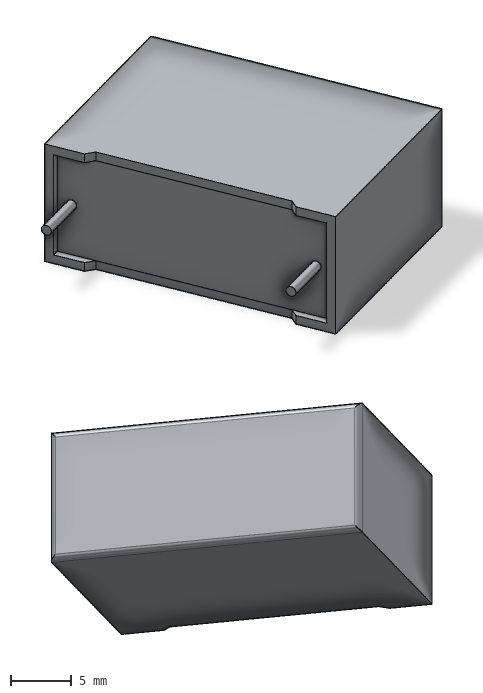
import cadquery as cq

width = 26.8
housing_depth = 20.1
height = 11.2
wall = 0.83
back_edge_radius = 0.5

relief_depth = 0.7
foot_width = 3.67

fill_recess = relief_depth

pin_diameter = 0.9
pin_length = 4.0
pin_spacing = 22.5

relief_half_width = width / 2 - foot_width
cavity_width = width - 2 * wall
cavity_height = height - 2 * wall
fill_depth = housing_depth - wall - fill_recess


def box_from_front(size_x, size_y, size_z, front_y):
    """Box centred in X and Z that runs back from front_y."""
    return (
        cq.Workplane("XY")
        .box(size_x, size_y, size_z, centered=(True, False, True))
        .translate((0, front_y, 0))
    )


def make_housing():
    shell = box_from_front(width, housing_depth, height, 0)
    shell = shell.faces(">Y").edges().fillet(back_edge_radius)
    cavity = box_from_front(cavity_width, housing_depth - wall, cavity_height, 0)
    relief = (
        cq.Workplane("XY")
        .polyline([
            (-relief_half_width, 0),
            (relief_half_width, 0),
            (relief_half_width - relief_depth, relief_depth),
            (-relief_half_width + relief_depth, relief_depth),
        ])
        .close()
        .extrude(height / 2, both=True)
    )
    return shell.cut(cavity).cut(relief)


def make_filling():
    return box_from_front(cavity_width, fill_depth, cavity_height, fill_recess)


def make_pin(x):
    """Pin that starts on the front face of the filling and points to -Y."""
    return (
        cq.Workplane("XZ", origin=(x, fill_recess, 0))
        .circle(pin_diameter / 2)
        .extrude(fill_recess + pin_length)
    )


housing = make_housing()
filling = make_filling()
pins = [make_pin(side * pin_spacing / 2) for side in (-1, 1)]

result = cq.Compound.makeCompound([
    housing.val(),
    filling.val(),
    *[pin.val() for pin in pins],
])